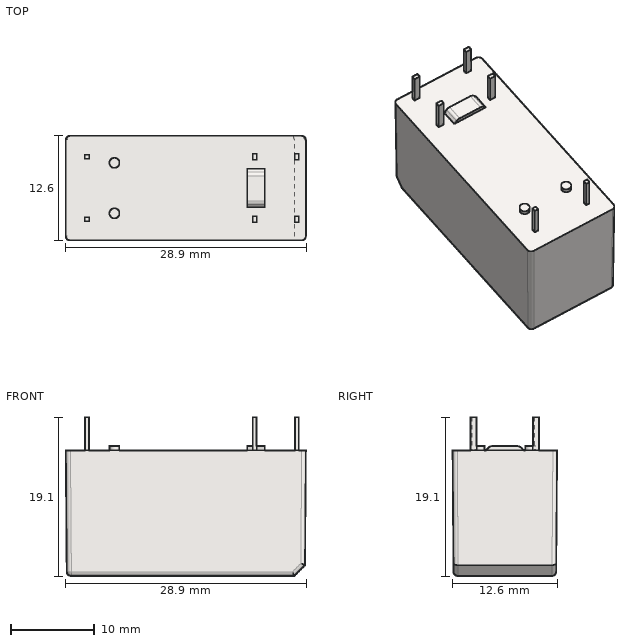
import cadquery as cq
import math

length = 28.9
width = 12.6
total_height = 19.1
pin_height = 4.0
housing_height = total_height - pin_height
wall_inset = 0.12
edge_radius = 0.55
corner_cut = 1.3

pin_row_y = 3.75
pin_thickness = 0.5
contact_pin_width = 0.75
coil_pin_x = -11.88
contact_pin_xs = (8.27, 13.35)

peg_x = -8.58
peg_y = 3.03
peg_diameter = 1.2
raised_height = 0.52

key_x = 8.45
key_width = 2.15
key_length = 4.6
key_edge_radius = 0.65


def make_housing():
    """Drafted box with one bevelled lower edge and rounded sides and base."""
    draft_angle = math.degrees(math.atan(wall_inset / housing_height))
    body = cq.Workplane("XY").rect(length, width).extrude(-housing_height, taper=draft_angle)
    base_end = length / 2 - wall_inset
    bevel = (
        cq.Workplane("XZ")
        .moveTo(base_end - corner_cut, -housing_height)
        .lineTo(length / 2, -housing_height)
        .lineTo(length / 2, -housing_height + corner_cut + wall_inset)
        .close()
        .extrude(width / 2, both=True)
    )
    body = body.cut(bevel)
    below_rim = body.edges("not(>Z)")
    side_edges = below_rim.edges("not(|Y)")
    base_end_edge = below_rim.edges("|Y").edges("<X")
    return side_edges.add(base_end_edge).fillet(edge_radius)


def make_pin(x, y, width_y):
    """Rectangular pin standing on the pin face."""
    return cq.Workplane("XY").center(x, y).rect(pin_thickness, width_y).extrude(pin_height)


def make_peg(y):
    """Round standoff peg."""
    return cq.Workplane("XY").center(peg_x, y).circle(peg_diameter / 2).extrude(raised_height)


def make_key():
    """Low block whose ends slope at 45 degrees and blend into the top."""
    top_length = key_length - 2 * raised_height
    key = (
        cq.Workplane("YZ", origin=(key_x - key_width / 2, 0, 0))
        .moveTo(-key_length / 2, 0)
        .lineTo(key_length / 2, 0)
        .lineTo(top_length / 2, raised_height)
        .lineTo(-top_length / 2, raised_height)
        .close()
        .extrude(key_width)
    )
    return key.faces(">Z").edges("|X").fillet(key_edge_radius)


result = make_housing().union(make_key())
for side in (-1, 1):
    result = result.union(make_peg(side * peg_y))
    result = result.union(make_pin(coil_pin_x, side * pin_row_y, pin_thickness))
    for contact_x in contact_pin_xs:
        result = result.union(make_pin(contact_x, side * pin_row_y, contact_pin_width))